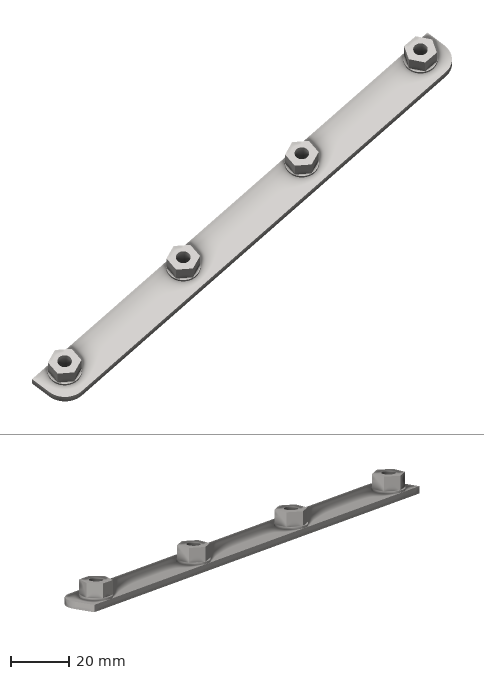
import cadquery as cq

length = 200.0
width = 16.0
thickness = 2.5
corner_radius = 8.0

total_height = 8.5
nut_across_corners = 11.5
collar_diameter = 11.8
collar_height = 0.8
hole_diameter = 5.0
nut_edge_distance = 6.0
nut_end_distance = 10.0
nut_angles = [48, 48, 48, 29]

nut_x = nut_edge_distance - width / 2
first_nut_y = nut_end_distance - length / 2
nut_pitch = (length - 2 * nut_end_distance) / (len(nut_angles) - 1)
nut_height = total_height - thickness - collar_height


def make_strip():
    strip = cq.Workplane("XY").box(width, length, thickness, centered=(True, True, False))
    return strip.edges("|Z and >X").fillet(corner_radius)


def make_nut(angle):
    """Collar and hexagon, with its base at the origin."""
    collar = cq.Workplane("XY").circle(collar_diameter / 2).extrude(collar_height)
    hexagon = (
        cq.Workplane("XY")
        .workplane(offset=collar_height)
        .polygon(6, nut_across_corners)
        .extrude(nut_height)
        .rotate((0, 0, 0), (0, 0, 1), angle)
    )
    return collar.union(hexagon)


nut_centres = [(nut_x, first_nut_y + index * nut_pitch) for index in range(len(nut_angles))]

result = make_strip()
for (x, y), angle in zip(nut_centres, nut_angles):
    result = result.union(make_nut(angle).translate((x, y, thickness)))

bores = cq.Workplane("XY").pushPoints(nut_centres).circle(hole_diameter / 2).extrude(total_height)
result = result.cut(bores)